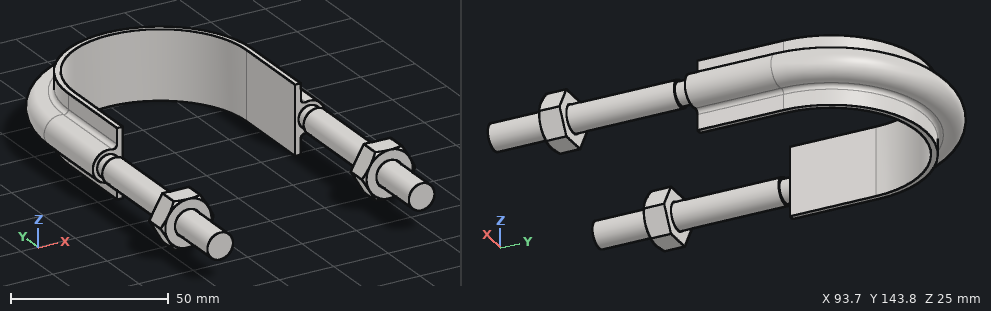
import cadquery as cq
import math


leg_spacing = 74.1
neck_diameter = 8.2
thread_diameter = 9.5
thread_start_y = -35.0

tube_diameter = 11.4
sleeve_end_y = -30.6
plate_inner_radius = 31.6
plate_thickness = 2.2
plate_height = 25.0
root_fillet = 1.5

nut_across_flats = 17.0
nut_thickness = 7.9
nut_inner_face_y = -73.1
nut_bore_diameter = 9.8
nut_chamfer_angle = 30.0

tube_radius = tube_diameter / 2
bend_radius = leg_spacing / 2
overall_length = 143.8
rod_end_y = bend_radius + tube_radius - overall_length
leg_sides = (-1, 1)


def leg_cylinder(diameter, start_y, end_y, side):
    """Cylinder along a leg axis from start_y down to end_y."""
    return (
        cq.Workplane("XZ", origin=(side * bend_radius, start_y, 0))
        .circle(diameter / 2)
        .extrude(start_y - end_y)
    )


def u_path(end_y):
    """Half circle about the origin joined to two straight legs that end at end_y."""
    return (
        cq.Workplane("XY")
        .moveTo(bend_radius, end_y)
        .lineTo(bend_radius, 0)
        .threePointArc((0, bend_radius), (-bend_radius, 0))
        .lineTo(-bend_radius, end_y)
    )


def make_rod():
    section = (
        cq.Workplane("XZ", origin=(bend_radius, thread_start_y, 0))
        .circle(neck_diameter / 2)
    )
    rod = section.sweep(u_path(thread_start_y))
    for side in leg_sides:
        rod = rod.union(leg_cylinder(thread_diameter, thread_start_y, rod_end_y, side))
    return rod


def sleeve_section():
    """Flat plate with a round tube on its outer face, blended by concave root fillets."""
    half_height = plate_height / 2
    plate_outer = plate_inner_radius + plate_thickness
    fillet_x = plate_outer + root_fillet
    center_distance = tube_radius + root_fillet
    fillet_z = math.sqrt(center_distance**2 - (bend_radius - fillet_x) ** 2)
    tangent_x = bend_radius + (fillet_x - bend_radius) * tube_radius / center_distance
    tangent_z = fillet_z * tube_radius / center_distance
    tube_angle = math.atan2(-fillet_z, bend_radius - fillet_x)
    middle_angle = (tube_angle - math.pi) / 2
    middle_x = fillet_x + root_fillet * math.cos(middle_angle)
    middle_z = fillet_z + root_fillet * math.sin(middle_angle)
    return (
        cq.Workplane("XZ", origin=(0, sleeve_end_y, 0))
        .moveTo(plate_inner_radius, -half_height)
        .lineTo(plate_outer, -half_height)
        .lineTo(plate_outer, -fillet_z)
        .threePointArc((middle_x, -middle_z), (tangent_x, -tangent_z))
        .threePointArc((bend_radius + tube_radius, 0), (tangent_x, tangent_z))
        .threePointArc((middle_x, middle_z), (plate_outer, fillet_z))
        .lineTo(plate_outer, half_height)
        .lineTo(plate_inner_radius, half_height)
        .close()
    )


def make_sleeve(rod):
    return sleeve_section().sweep(u_path(sleeve_end_y)).cut(rod)


def make_nut(side):
    """Hexagonal nut with corners along X, chamfered outer corners and a small clearance on the rod."""
    across_corners = nut_across_flats / math.cos(math.pi / 6)
    corner_radius = across_corners / 2
    face_radius = nut_across_flats / 2
    outer_face_y = nut_inner_face_y - nut_thickness
    chamfer_drop = (corner_radius - face_radius) * math.tan(math.radians(nut_chamfer_angle))
    hexagon = (
        cq.Workplane("XZ", origin=(0, nut_inner_face_y, 0))
        .polygon(6, across_corners)
        .extrude(nut_thickness)
    )
    chamfer_envelope = (
        cq.Workplane("XY")
        .moveTo(0, nut_inner_face_y)
        .lineTo(corner_radius, nut_inner_face_y)
        .lineTo(corner_radius, outer_face_y + chamfer_drop)
        .lineTo(face_radius, outer_face_y)
        .lineTo(0, outer_face_y)
        .close()
        .revolve(360, (0, 0, 0), (0, 1, 0))
    )
    blank = hexagon.intersect(chamfer_envelope).translate((side * bend_radius, 0, 0))
    return blank.cut(leg_cylinder(nut_bore_diameter, nut_inner_face_y, outer_face_y, side))


rod = make_rod()
sleeve = make_sleeve(rod)
nuts = [make_nut(side).val() for side in leg_sides]

result = cq.Compound.makeCompound([rod.val(), sleeve.val(), *nuts])